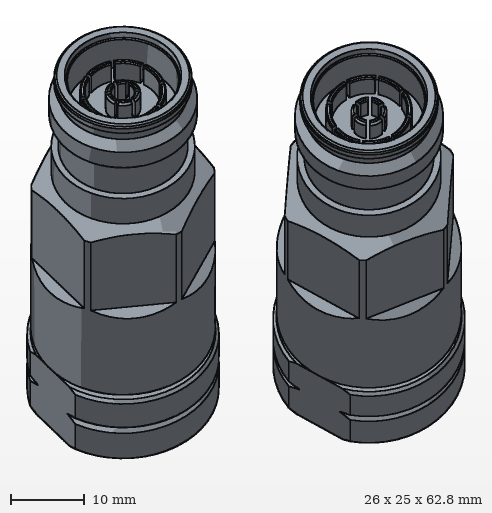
import cadquery as cq
import math

nut_radius = 13.0
nut_top = 11.75
nut_chamfer = 0.45
nut_flat_distance = 12.0
nut_groove_height = 6.0
nut_groove_depth = 0.55

undercut_radius = 11.7
undercut_top = 12.55

body_radius = 12.5
hex_flat_distance = 11.05
hex_bottom = 28.6
hex_bevel_angle = 30.0

shoulder_radius = 9.75
shoulder_bottom = 43.7
shoulder_top = 48.75
neck_radius = 8.8
collar_radius = 10.05
collar_bevel = collar_radius - neck_radius
collar_bottom = 53.95
collar_top = 59.55
lip_radius = 9.35
lip_bottom = 61.35
lip_face_radius = 9.0
lip_edge_radius = 9.25
lip_edge_height = 62.55
lip_side_top = 62.25
total_height = 62.8

socket_floor = 56.3
socket_radius = 7.55
socket_seat_radius = 7.7
socket_mouth_radius = 7.9
socket_seat_height = 62.0
socket_seat_bevel = socket_seat_radius - socket_radius

slot_width = 0.5
sleeve_outer_radius = 5.85
sleeve_inner_radius = 5.15
sleeve_top = 59.8
sleeve_chamfer = 0.2
sleeve_slots = 8
contact_outer_radius = 2.4
contact_inner_radius = 1.6
contact_top = 59.6
contact_outer_chamfer = 0.3
contact_inner_chamfer = 0.2
contact_slots = 6


def revolve_profile(points):
    """Turn a closed (radius, height) outline around the Z axis."""
    return cq.Workplane("XZ").polyline(points).close().revolve(360, (0, 0, 0), (0, 1, 0))


def make_nut():
    groove_radius = nut_radius - nut_groove_depth
    nut = revolve_profile([
        (0, 0),
        (nut_radius - nut_chamfer, 0),
        (nut_radius, nut_chamfer),
        (nut_radius, nut_groove_height - nut_groove_depth),
        (groove_radius, nut_groove_height),
        (nut_radius, nut_groove_height + nut_groove_depth),
        (nut_radius, nut_top - nut_chamfer),
        (nut_radius - nut_chamfer, nut_top),
        (0, nut_top),
    ])
    between_flats = cq.Workplane("XY").box(
        2 * nut_radius, 2 * nut_flat_distance, nut_top, centered=(True, True, False)
    )
    return nut.intersect(between_flats)


def make_turned_body():
    cone_drop = (body_radius - shoulder_radius) * math.tan(math.radians(hex_bevel_angle))
    return revolve_profile([
        (0, nut_top),
        (undercut_radius, nut_top),
        (undercut_radius, undercut_top),
        (body_radius, undercut_top),
        (body_radius, shoulder_bottom - cone_drop),
        (shoulder_radius, shoulder_bottom),
        (shoulder_radius, shoulder_top),
        (neck_radius, shoulder_top),
        (neck_radius, collar_bottom),
        (collar_radius, collar_bottom + collar_bevel),
        (collar_radius, collar_top - collar_bevel),
        (neck_radius, collar_top),
        (neck_radius, lip_bottom),
        (lip_radius, lip_bottom),
        (lip_radius, lip_side_top),
        (lip_edge_radius, lip_edge_height),
        (lip_face_radius, total_height),
        (0, total_height),
    ])


def make_flat_cutter():
    """Block that leaves one hexagon flat facing +X, with a sloping runout below it."""
    runout_drop = (body_radius - hex_flat_distance) * math.tan(math.radians(hex_bevel_angle))
    cutter = cq.Workplane("XZ").polyline([
        (hex_flat_distance, shoulder_bottom),
        (hex_flat_distance, hex_bottom),
        (body_radius, hex_bottom - runout_drop),
        (body_radius, shoulder_bottom),
    ]).close()
    return cutter.extrude(body_radius, both=True)


def cut_hexagon(body):
    cutter = make_flat_cutter()
    for side in range(6):
        angle = 30 + 60 * side
        body = body.cut(cutter.rotate((0, 0, 0), (0, 0, 1), angle))
    return body


def make_socket():
    return revolve_profile([
        (0, socket_floor),
        (socket_radius, socket_floor),
        (socket_radius, socket_seat_height - socket_seat_bevel),
        (socket_seat_radius, socket_seat_height),
        (socket_mouth_radius, total_height),
        (0, total_height),
    ])


def cut_slots(tube, outer_radius, count, first_angle):
    """Cut evenly spaced slots outward from the axis, down to the socket floor."""
    reach = 2 * outer_radius
    slot = cq.Workplane("XY", origin=(0, 0, socket_floor)).box(
        reach, slot_width, total_height - socket_floor, centered=(False, True, False)
    )
    for index in range(count):
        angle = first_angle + 360 / count * index
        tube = tube.cut(slot.rotate((0, 0, 0), (0, 0, 1), angle))
    return tube


def make_sleeve():
    tube = revolve_profile([
        (sleeve_inner_radius, socket_floor),
        (sleeve_outer_radius, socket_floor),
        (sleeve_outer_radius, sleeve_top - sleeve_chamfer),
        (sleeve_outer_radius - sleeve_chamfer, sleeve_top),
        (sleeve_inner_radius + sleeve_chamfer, sleeve_top),
        (sleeve_inner_radius, sleeve_top - sleeve_chamfer),
    ])
    return cut_slots(tube, sleeve_outer_radius, sleeve_slots, 180 / sleeve_slots)


def make_contact():
    tube = revolve_profile([
        (contact_inner_radius, socket_floor),
        (contact_outer_radius, socket_floor),
        (contact_outer_radius, contact_top - contact_outer_chamfer),
        (contact_outer_radius - contact_outer_chamfer, contact_top),
        (contact_inner_radius + contact_inner_chamfer, contact_top),
        (contact_inner_radius, contact_top - contact_inner_chamfer),
    ])
    return cut_slots(tube, contact_outer_radius, contact_slots, 0)


body = cut_hexagon(make_turned_body())
connector = make_nut().union(body).cut(make_socket())
result = connector.union(make_sleeve()).union(make_contact())